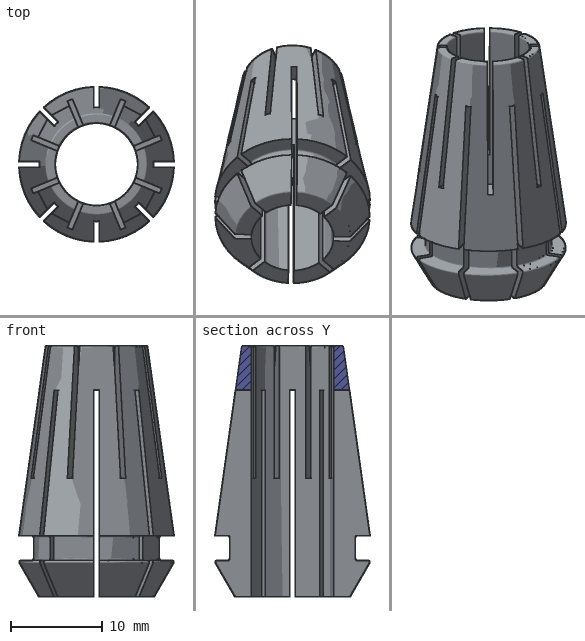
import cadquery as cq
import math

LENGTH = 27.5
BODY_DIAMETER = 17.0
BORE_DIAMETER = 9.0
TAPER_HALF_ANGLE = 8.0
EDGE_RADIUS = 0.2

GROOVE_DIAMETER = 13.8
GROOVE_BOTTOM = 4.0
GROOVE_TOP = 6.7
NOSE_DIAMETER = 12.6
NOSE_HALF_ANGLE = 30.0

SLOTS_PER_END = 8
SLOT_WIDTH = 0.6
LOWER_SLOT_END = 22.65
UPPER_SLOT_END = 13.0

MATCH_TOLERANCE = 1e-4

SLOT_PITCH = 360.0 / SLOTS_PER_END
BODY_RADIUS = BODY_DIAMETER / 2
BORE_RADIUS = BORE_DIAMETER / 2
GROOVE_RADIUS = GROOVE_DIAMETER / 2
NOSE_RADIUS = NOSE_DIAMETER / 2


def cone_growth(height, half_angle):
    """Change in radius of a cone over an axial height."""
    return height * math.tan(math.radians(half_angle))


def round_circle(body, radius, height):
    """Fillet the circular edge that has this radius and height."""
    circles = body.edges("%CIRCLE").filter(
        lambda edge: abs(edge.radius() - radius) < MATCH_TOLERANCE
        and abs(edge.Center().z - height) < MATCH_TOLERANCE
    )
    return circles.fillet(EDGE_RADIUS)


def make_body():
    """Revolved collet without slots, with its rims and groove corners rounded."""
    rim_radius = NOSE_RADIUS + cone_growth(GROOVE_BOTTOM, NOSE_HALF_ANGLE)
    small_end_radius = BODY_RADIUS - cone_growth(LENGTH - GROOVE_TOP, TAPER_HALF_ANGLE)
    body = (
        cq.Workplane("XZ")
        .moveTo(BORE_RADIUS, 0)
        .lineTo(NOSE_RADIUS, 0)
        .lineTo(rim_radius, GROOVE_BOTTOM)
        .lineTo(GROOVE_RADIUS, GROOVE_BOTTOM)
        .lineTo(GROOVE_RADIUS, GROOVE_TOP)
        .lineTo(BODY_RADIUS, GROOVE_TOP)
        .lineTo(small_end_radius, LENGTH)
        .lineTo(BORE_RADIUS, LENGTH)
        .close()
        .revolve(360, (0, 0, 0), (0, 1, 0))
    )
    rounded_edges = [
        (NOSE_RADIUS, 0),
        (rim_radius, GROOVE_BOTTOM),
        (GROOVE_RADIUS, GROOVE_BOTTOM),
        (GROOVE_RADIUS, GROOVE_TOP),
        (small_end_radius, LENGTH),
        (BORE_RADIUS, LENGTH),
    ]
    for radius, height in rounded_edges:
        body = round_circle(body, radius, height)
    return body


def slot_ring(bottom, top, first_angle):
    """Evenly spaced radial slots running from the axis out past the body."""
    blade_length = BODY_DIAMETER
    blade = cq.Workplane("XY").box(
        blade_length, SLOT_WIDTH, top - bottom, centered=(False, True, False)
    )
    blade = blade.translate((0, 0, bottom))
    ring = cq.Workplane("XY")
    for index in range(SLOTS_PER_END):
        angle = first_angle + index * SLOT_PITCH
        ring = ring.add(blade.rotate((0, 0, 0), (0, 0, 1), angle))
    return ring.combine()


lower_slots = slot_ring(0, LOWER_SLOT_END, 0)
upper_slots = slot_ring(UPPER_SLOT_END, LENGTH, SLOT_PITCH / 2)

result = make_body().cut(lower_slots).cut(upper_slots)